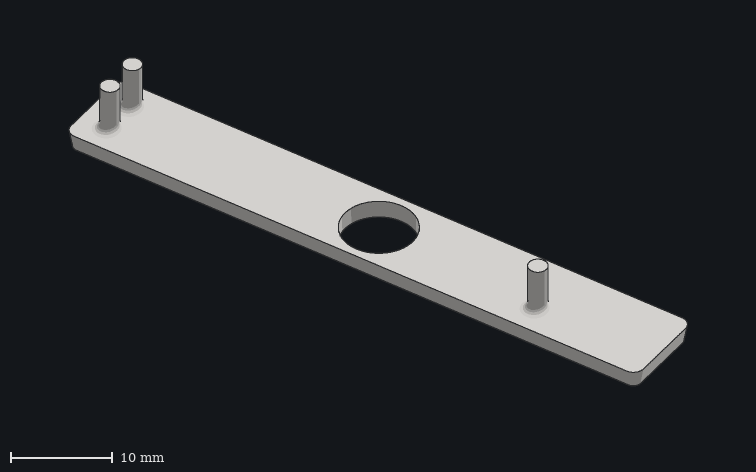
import cadquery as cq
import math

length = 67.7
width = 9.9
thickness = 2.0
corner_radius = 1.2
wall_inset = 0.35
draft_angle = math.degrees(math.atan(wall_inset / thickness))

hole_diameter = 8.0
hole_x = 0.1

total_height = 7.5
pin_height = total_height - thickness
pin_radius = 2.0 / 2
flare_radius = 1.0
pair_x = -30.4
pair_spacing = 4.0
pair_offset = pair_spacing / 2
single_pin_x = 20.05
single_pin_y = -1.75
pin_positions = [
    (pair_x, pair_offset),
    (pair_x, -pair_offset),
    (single_pin_x, single_pin_y),
]


def make_plate():
    """Rounded plate from z = 0 up to its thickness, with the hole cut through."""
    outline = cq.Sketch().rect(length, width).vertices().fillet(corner_radius)
    plate = (
        cq.Workplane("XY", origin=(0, 0, thickness))
        .placeSketch(outline)
        .extrude(-thickness, taper=draft_angle)
    )
    return plate.faces(">Z").workplane(origin=(hole_x, 0, thickness)).hole(hole_diameter)


def make_pin():
    """Pin on the Z axis, rooted at the plate's bottom face and flared at its top face."""
    foot_radius = pin_radius + flare_radius
    arc_reach = flare_radius * (1 - math.sqrt(0.5))
    profile = (
        cq.Workplane("XZ")
        .lineTo(pin_radius, 0)
        .lineTo(pin_radius, thickness / 2)
        .lineTo(foot_radius, thickness / 2)
        .lineTo(foot_radius, thickness)
        .threePointArc(
            (pin_radius + arc_reach, thickness + arc_reach),
            (pin_radius, thickness + flare_radius),
        )
        .lineTo(pin_radius, thickness + pin_height)
        .lineTo(0, thickness + pin_height)
        .close()
    )
    return profile.revolve(360, (0, 0, 0), (0, 1, 0))


result = make_plate()
for x, y in pin_positions:
    result = result.union(make_pin().translate((x, y, 0)))